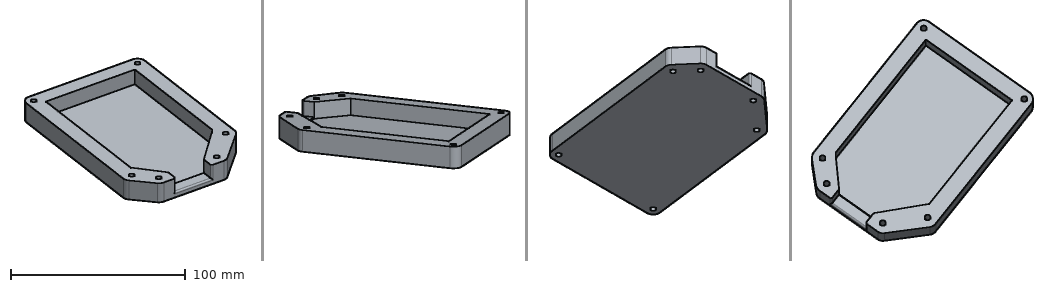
import cadquery as cq

length = 120.0
width = 82.0
height = 13.0
front_bevel = 14.6
back_bevel = 21.6
corner_radius = 5.0

floor_thickness = 3.0
end_wall = 9.8
side_wall = 10.2
pocket_end = 112.5
front_taper_start = 96.0
back_taper_start = 88.8

mouth_bottom = 25.1
mouth_width = 24.6
mouth_top = mouth_bottom + mouth_width
sill_height = 4.0
mouth_rounding = 1.1

hole_diameter = 3.4
hole_inset = 5.0
tip_hole_x = 114.1
hole_centers = [
    (hole_inset, hole_inset),
    (hole_inset, width - hole_inset),
    (103.1, 6.1),
    (tip_hole_x, 17.4),
    (tip_hole_x, 57.5),
    (96.0, 76.0),
]


def make_body():
    outline = [
        (0, 0),
        (length - front_bevel, 0),
        (length, front_bevel),
        (length, width - back_bevel),
        (length - back_bevel, width),
        (0, width),
    ]
    body = cq.Workplane("XY").polyline(outline).close().extrude(height)
    return body.edges("|Z").fillet(corner_radius)


def make_pocket():
    outline = [
        (end_wall, side_wall),
        (front_taper_start, side_wall),
        (pocket_end, mouth_bottom),
        (pocket_end, mouth_top),
        (back_taper_start, width - side_wall),
        (end_wall, width - side_wall),
    ]
    plane = cq.Workplane("XY").workplane(offset=floor_thickness)
    return plane.polyline(outline).close().extrude(height - floor_thickness)


def make_mouth():
    size = (length - pocket_end, mouth_width, height - sill_height)
    corner = (pocket_end, mouth_bottom, sill_height)
    return cq.Workplane("XY").box(*size, centered=False).translate(corner)


def make_holes():
    return cq.Workplane("XY").pushPoints(hole_centers).circle(hole_diameter / 2).extrude(height)


def round_mouth(part):
    """Round the sill and both jambs where they meet the +X face."""
    margin = mouth_rounding / 2
    mouth_edges = cq.selectors.BoxSelector(
        (length - margin, mouth_bottom - margin, sill_height - margin),
        (length + margin, mouth_top + margin, height - margin),
    )
    return part.edges(mouth_edges).fillet(mouth_rounding)


open_tray = make_body().cut(make_pocket()).cut(make_mouth())
result = round_mouth(open_tray).cut(make_holes())